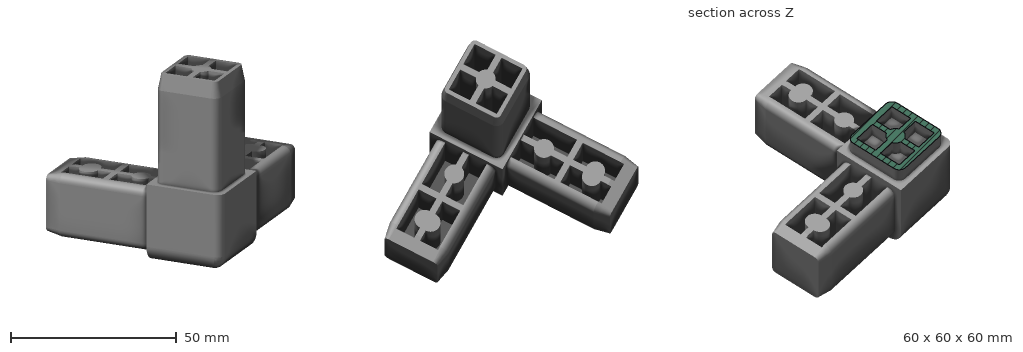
import cadquery as cq
import math


overall = 60.0
core_size = 25.0
core_bottom_radius = 5.05
core_side_radius = 2.5

plug_length = overall - core_size
side_plug_width = 20.2
upright_plug_width = 21.0
plug_corner_radius = 2.5
tip_length = 5.05
tip_inset = 1.0

rib_width = 2.0
pillar_diameter = 6.0

side_pocket_width = 14.3
end_wall = 3.9
cross_rib_distance = 19.0
round_pillar_distance = 27.5
slot_pillar_distance = 10.5
slot_pillar_length = 8.1
side_wall = (side_plug_width - side_pocket_width) / 2
side_floor_z = side_wall - side_plug_width / 2

upright_pocket_width = 16.45

core_half = core_size / 2
tip_position = core_half + plug_length


def make_core():
    """Cube with its three edges at the (+X, -Y, -Z) corner rounded."""
    cube = cq.Workplane("XY").box(core_size, core_size, core_size)
    cube = cube.faces("<Z").edges("<Y or >X").fillet(core_bottom_radius)
    return cube.edges("|Z and >X and <Y").fillet(core_side_radius)


def make_plug(width):
    """Solid plug standing on top of the core, narrowing at its tip."""
    straight_length = plug_length - tip_length
    outline = cq.Sketch().rect(width, width).vertices().fillet(plug_corner_radius)
    shaft = (
        cq.Workplane("XY")
        .workplane(offset=core_half)
        .placeSketch(outline)
        .extrude(straight_length)
    )
    tip_angle = math.degrees(math.atan2(tip_inset, tip_length))
    tip = (
        cq.Workplane("XY")
        .workplane(offset=core_half + straight_length)
        .placeSketch(outline)
        .extrude(tip_length, taper=tip_angle)
    )
    return shaft.union(tip)


def make_upright_plug():
    """Plug along +Z, open at its tip, with crossed ribs around a pillar."""
    base = cq.Workplane("XY").workplane(offset=core_half)
    pocket = base.rect(upright_pocket_width, upright_pocket_width).extrude(plug_length)
    ribs = (
        base.rect(upright_pocket_width, rib_width)
        .extrude(plug_length)
        .union(base.rect(rib_width, upright_pocket_width).extrude(plug_length))
    )
    pillar = base.circle(pillar_diameter / 2).extrude(plug_length)
    return make_plug(upright_plug_width).cut(pocket.cut(ribs).cut(pillar))


def make_side_plug():
    """Plug along -X, with ribbed pockets open towards +Z."""
    body = make_plug(side_plug_width).rotate((0, 0, 0), (0, 1, 0), -90)
    floor = cq.Workplane("XY").workplane(offset=side_floor_z)
    depth = side_plug_width

    pocket_length = plug_length - end_wall
    pocket_centre_x = -core_half - pocket_length / 2
    cross_rib_x = cross_rib_distance - tip_position
    round_pillar_x = round_pillar_distance - tip_position
    slot_pillar_x = slot_pillar_distance - tip_position

    pocket = floor.center(pocket_centre_x, 0).rect(pocket_length, side_pocket_width).extrude(depth)
    kept_shapes = [
        floor.center(pocket_centre_x, 0).rect(pocket_length, rib_width).extrude(depth),
        floor.center(cross_rib_x, 0).rect(rib_width, side_pocket_width).extrude(depth),
        floor.center(round_pillar_x, 0).circle(pillar_diameter / 2).extrude(depth),
        floor.center(slot_pillar_x, 0).slot2D(slot_pillar_length, pillar_diameter, 90).extrude(depth),
    ]
    for shape in kept_shapes:
        pocket = pocket.cut(shape)
    return body.cut(pocket)


side_plug = make_side_plug()
result = (
    make_core()
    .union(make_upright_plug())
    .union(side_plug)
    .union(side_plug.rotate((0, 0, 0), (0, 0, 1), -90))
)